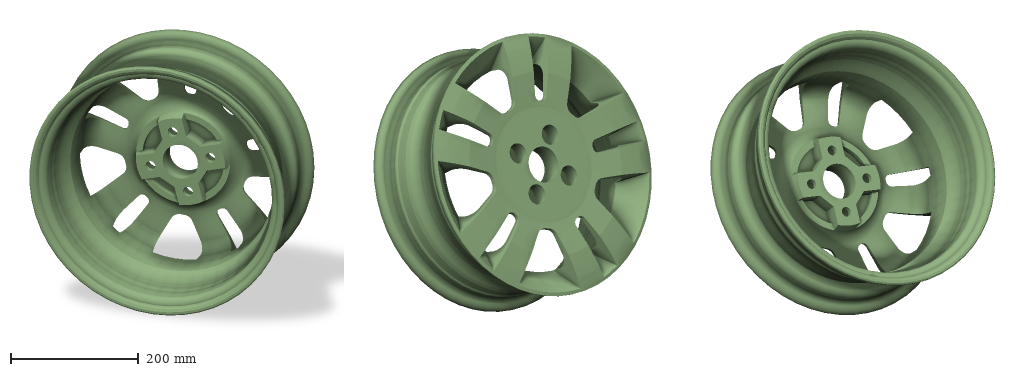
import cadquery as cq
import math

outer_radius = 208.0
wheel_width = 174.0
lip_y = 166.7

bead_seat_radius = 189.0
front_seat_start_y = 20.0
front_seat_end_y = 32.0
face_seat_end_y = 148.0
drop_centre_radius = 170.5
drop_centre_start_y = 114.5
drop_centre_end_y = 118.5
barrel_inner_radius = 165.0
barrel_narrow_start_y = drop_centre_start_y
barrel_narrow_end_y = 120.5

spoke_back_y = 162.5
spoke_flat_radius = 145.0
crown_radius = 145.5
hub_face_y = 168.5
hub_face_radius = 91.5

bore_diameter = 57.0
hub_radius = 76.5
hub_foot_radius = 97.3
pad_y = 130.5
ledge_y = 146.5
pocket_floor_y = 158.0
pocket_radius = 66.5
pad_end_radius = 72.8
pad_arm_width = 40.5
pad_square_width = 85.0

lug_count = 4
lug_diameter = 16.0
lug_circle_radius = 50.5
lug_angle = 14.4
lug_seat_diameter = 32.0
lug_seat_y = 138.5

spoke_count = 5
slot_angle = 86.5
pitch_angle = 360 / spoke_count
window_angle = slot_angle + pitch_angle / 2
opening_draft = 10.0
opening_end_radius = 164.2
opening_start_y = barrel_narrow_end_y
face_clearance = 4.0
opening_end_y = wheel_width + face_clearance
dish_inner_y = 131.0
dish_outer_radius = 203.7
dish_outer_y = 169.2
window_start_radius = 102.3
window_start_half_width = 13.0
window_half_angle = 26.4
window_corner_radius = 16.0
slot_start_radius = 102.0
slot_start_half_width = 9.0
slot_half_angle = 3.5
slot_corner_radius = 8.5


def cylinder(radius, start_y, end_y):
    """Solid cylinder on the wheel axis."""
    plane = cq.Workplane("XZ", origin=(0, start_y, 0))
    return plane.circle(radius).extrude(start_y - end_y)


def revolve_about_axis(profile):
    """Turn a closed (radius, Y) profile around the wheel axis."""
    return profile.close().revolve(360, (0, 0, 0), (0, 1, 0))


def make_body():
    """Rim, spoke disc and hub as one turned shape, before any openings."""
    profile = (
        cq.Workplane("XY")
        .moveTo(0, ledge_y)
        .lineTo(hub_radius, ledge_y)
        .threePointArc((82.5, 157.5), (hub_foot_radius, spoke_back_y))
        .lineTo(spoke_flat_radius, spoke_back_y)
        .threePointArc((157.5, 156.7), (163.5, 141.5))
        .lineTo(barrel_inner_radius, barrel_narrow_end_y)
        .lineTo(barrel_inner_radius, barrel_narrow_start_y)
        .lineTo(166.5, 86.5)
        .lineTo(171.3, 77.0)
        .lineTo(178.8, 62.5)
        .lineTo(181.3, 54.0)
        .lineTo(182.0, 45.7)
        .lineTo(183.5, 39.5)
        .lineTo(183.5, 18.7)
        .threePointArc((186.5, 11.0), (194.5, 7.5))
        .lineTo(198.0, 2.5)
        .lineTo(202.0, 0)
        .lineTo(206.0, 0)
        .lineTo(outer_radius, 1.5)
        .lineTo(outer_radius, 5.0)
        .threePointArc((205.0, 12.0), (198.0, 15.0))
        .threePointArc((191.5, 16.2), (bead_seat_radius, front_seat_start_y))
        .lineTo(188.8, 28.3)
        .lineTo(bead_seat_radius, front_seat_end_y)
        .threePointArc((190.0, 36.0), (188.0, 40.5))
        .lineTo(187.0, 45.7)
        .lineTo(186.3, 57.8)
        .lineTo(183.8, 64.5)
        .lineTo(173.8, 80.2)
        .lineTo(172.0, 87.5)
        .lineTo(drop_centre_radius, drop_centre_start_y)
        .lineTo(drop_centre_radius, drop_centre_end_y)
        .lineTo(179.5, 123.0)
        .threePointArc((186.5, 127.0), (189.5, 136.5))
        .lineTo(bead_seat_radius, face_seat_end_y)
        .threePointArc((191.2, 153.0), (196.0, 154.5))
        .threePointArc((204.0, 157.5), (outer_radius, 164.2))
        .lineTo(outer_radius, lip_y)
        .threePointArc((178.8, 172.0), (crown_radius, wheel_width))
        .lineTo(hub_face_radius, hub_face_y)
        .lineTo(0, hub_face_y)
    )
    return revolve_about_axis(profile)


def make_pad():
    """Raised cross-shaped mounting pad with a tapered outer end."""
    height = hub_face_y - pad_y
    base = cq.Workplane("XZ", origin=(0, hub_face_y, 0)).transformed(rotate=(0, 0, lug_angle))
    pad = base.rect(2 * hub_radius, pad_arm_width).extrude(height)
    pad = pad.union(base.rect(pad_arm_width, 2 * hub_radius).extrude(height))
    diagonal = base.transformed(rotate=(0, 0, 45))
    pad = pad.union(diagonal.rect(pad_square_width, pad_square_width).extrude(height))
    blank = revolve_about_axis(
        cq.Workplane("XY")
        .moveTo(0, pad_y)
        .lineTo(pad_end_radius, pad_y)
        .lineTo(hub_radius, ledge_y)
        .lineTo(hub_radius, hub_face_y)
        .lineTo(0, hub_face_y)
    )
    return pad.intersect(blank)


def make_opening(angle, start_radius, start_half_width, half_angle, corner_radius):
    """Radial opening that flares outwards and widens towards the face."""
    length = outer_radius - start_radius
    end_half_width = start_half_width + length * math.tan(math.radians(half_angle))
    outline = [
        (start_radius, -start_half_width),
        (outer_radius, -end_half_width),
        (outer_radius, end_half_width),
        (start_radius, start_half_width),
    ]
    base = cq.Workplane("XZ", origin=(0, spoke_back_y, 0))
    sketch = cq.Sketch().polygon(outline + outline[:1])
    sketch = sketch.vertices("<X").fillet(corner_radius)
    inner = base.placeSketch(sketch).extrude(spoke_back_y - opening_start_y, taper=opening_draft)
    outer = base.placeSketch(sketch).extrude(spoke_back_y - opening_end_y, taper=-opening_draft)
    return inner.union(outer).rotate((0, 0, 0), (0, 1, 0), -angle)


def make_opening_limit():
    """Turned space the openings may fill: up to the barrel, then above the dished rim."""
    return revolve_about_axis(
        cq.Workplane("XY")
        .moveTo(0, opening_start_y)
        .lineTo(opening_end_radius, opening_start_y)
        .lineTo(opening_end_radius, dish_inner_y)
        .lineTo(dish_outer_radius, dish_outer_y)
        .lineTo(dish_outer_radius, opening_end_y)
        .lineTo(0, opening_end_y)
    )


def make_lug_holes():
    """Lug holes with a counterbore from the face side."""
    face = cq.Workplane("XZ", origin=(0, wheel_width, 0))
    centers = face.polarArray(lug_circle_radius, lug_angle, 360, lug_count)
    holes = centers.circle(lug_diameter / 2).extrude(wheel_width)
    seats = centers.circle(lug_seat_diameter / 2).extrude(wheel_width - lug_seat_y)
    return holes.union(seats)


pad = make_pad()
body = make_body().cut(cylinder(pocket_radius, ledge_y, pocket_floor_y)).union(pad)
openings = cq.Workplane()
for index in range(spoke_count):
    turn = index * pitch_angle
    window = make_opening(
        window_angle + turn, window_start_radius, window_start_half_width,
        window_half_angle, window_corner_radius,
    )
    slot = make_opening(
        slot_angle + turn, slot_start_radius, slot_start_half_width,
        slot_half_angle, slot_corner_radius,
    )
    openings = openings.add(window).add(slot)

opening_limit = make_opening_limit()
openings = openings.combine().intersect(opening_limit)
body = body.cut(openings)
body = body.cut(cylinder(bore_diameter / 2, 0, wheel_width))
result = body.cut(make_lug_holes())